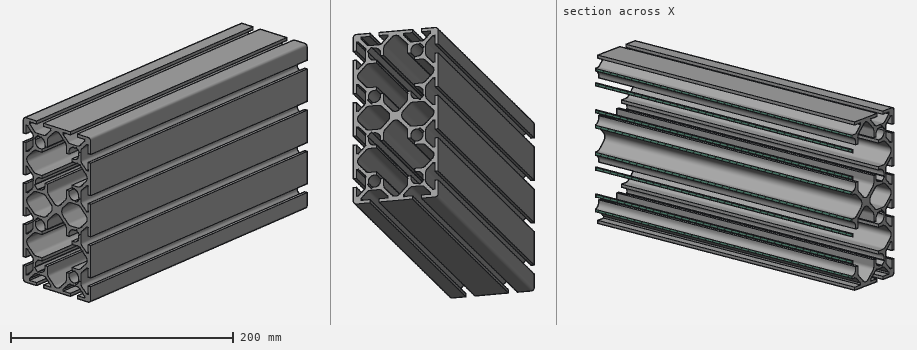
import cadquery as cq
import math

length = 300
height = 160.0
rows = 4
module = height / rows
cell = 2 * module
width = cell
half_cell = cell / 2
half_module = module / 2
corner_radius = 3.0

slot_opening = 8.5
lip_thickness = 3.0
slot_half_width = 12.5
slot_depth = 11.7
slot_slope_sum = 17.5
slot_bend_radius = 3.5

bore_radius = 5.7
relief_reach = 6.5
relief_width = 5.5
arm_thickness = 3.0
arm_overhang = 2.0

lobe_half_width = half_module - bore_radius - arm_thickness
lobe_slope_sum = 37.8
lobe_tip_half_width = 3.3
lobe_bend_radius = 4.8
middle_slope_sum = 16.8
middle_tip_half_width = 4.2
tip_rise = math.tan(math.pi / 8)


def section():
    """Empty sketch plane whose local axes are X and Z, extruded towards -Y."""
    return cq.Workplane("XZ", origin=(0, length / 2, 0))


def turned(shape, angle):
    """Shape turned about the extrusion axis."""
    return shape.rotate((0, 0, 0), (0, 1, 0), angle)


def body():
    block = section().rect(width, height).extrude(length)
    return block.edges("|Y").fillet(corner_radius)


def t_slot():
    """T-slot opening upwards, with the outer face at local Z = 0."""
    opening_half = slot_opening / 2
    floor_half = slot_slope_sum - slot_depth
    wall_depth = slot_slope_sum - slot_half_width
    right_side = [
        (opening_half, 0),
        (opening_half, -lip_thickness),
        (slot_half_width, -lip_thickness),
        (slot_half_width, -wall_depth),
        (floor_half, -slot_depth),
    ]
    left_side = [(-x, z) for x, z in reversed(right_side)]
    slot = section().polyline(right_side + left_side).close().extrude(length)
    return slot.edges("|Y").edges("<Z").fillet(slot_bend_radius)


def tapered_cavity(right_slope_sum, right_tip_half, left_slope_sum, left_tip_half):
    """Cavity along X whose two ends narrow at 45 degrees to a rounded tip."""
    right_start = right_slope_sum - lobe_half_width
    right_end = right_slope_sum - right_tip_half
    right_tip = right_end + right_tip_half * tip_rise
    left_start = left_slope_sum - lobe_half_width
    left_end = left_slope_sum - left_tip_half
    left_tip = left_end + left_tip_half * tip_rise
    cavity = (
        section()
        .moveTo(-left_start, -lobe_half_width)
        .lineTo(right_start, -lobe_half_width)
        .lineTo(right_end, -right_tip_half)
        .threePointArc((right_tip, 0), (right_end, right_tip_half))
        .lineTo(right_start, lobe_half_width)
        .lineTo(-left_start, lobe_half_width)
        .lineTo(-left_end, left_tip_half)
        .threePointArc((-left_tip, 0), (-left_end, -left_tip_half))
        .close()
        .extrude(length)
    )
    return cavity.edges("|Y").edges(">Z or <Z").fillet(lobe_bend_radius)


def screw_bore():
    """Bore open towards +X +Z, with a flat-bottomed relief groove on the opposite side."""
    bore = section().circle(bore_radius).extrude(length)
    opening = section().rect(bore_radius, bore_radius, centered=False).extrude(length)
    relief = section().center(-relief_reach / 2, 0).rect(relief_reach, relief_width).extrude(length)
    relief = turned(relief, -45)
    return bore.union(opening).union(relief)


def cell_cavity():
    """Cross-shaped cavity of one cell, with its four screw bores."""
    core_side = 2 * (half_module - arm_overhang)
    lobe = tapered_cavity(lobe_slope_sum, lobe_tip_half_width, lobe_slope_sum, lobe_tip_half_width)
    cavity = section().rect(core_side, core_side).extrude(length)
    cavity = cavity.union(lobe).union(turned(lobe, 90))
    bore = screw_bore().translate((-half_module, 0, -half_module))
    for angle in (0, 90, 180, 270):
        cavity = cavity.union(turned(bore, angle))
    return cavity


result = body()

slot = t_slot()
for angle in (0, 180):
    for x in (-half_module, half_module):
        result = result.cut(turned(slot.translate((x, 0, height / 2)), angle))
for angle in (90, 270):
    for row in range(rows):
        offset = (row + 0.5) * module - height / 2
        result = result.cut(turned(slot.translate((offset, 0, width / 2)), angle))

for z in (-half_cell, half_cell):
    result = result.cut(cell_cavity().translate((0, 0, z)))

middle_cavity = tapered_cavity(
    lobe_slope_sum - half_module, lobe_tip_half_width, middle_slope_sum, middle_tip_half_width
).translate((half_module, 0, 0))
result = result.cut(middle_cavity).cut(turned(middle_cavity, 180))